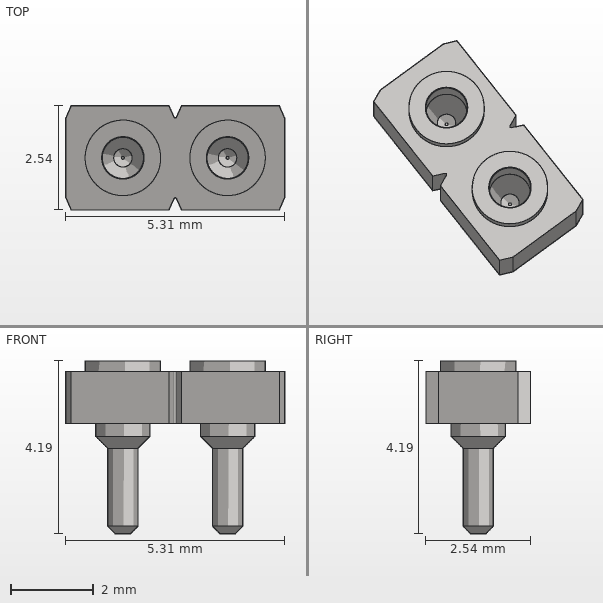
import cadquery as cq

length = 5.31
width = 2.54
pitch = 2.54
contact_count = 2
total_height = 4.19

housing_height = 1.27
corner_x = 0.135
corner_y = 0.31
notch_half_width = 0.155
notch_floor_half_width = 0.025
notch_depth = 0.3
notch_floor_rise = 0.015

flange_diameter = 1.83
flange_height = 0.25
shank_diameter = 1.32
shank_projection = 0.31
tail_diameter = 0.74
tip_diameter = 0.37
tip_height = (tail_diameter - tip_diameter) / 2
shoulder_height = (shank_diameter - tail_diameter) / 2
shoulder_top_z = -housing_height - shank_projection
shoulder_bottom_z = shoulder_top_z - shoulder_height
contact_bottom_z = flange_height - total_height

bore_diameter = 1.0
mouth_diameter = 1.03
mouth_chamfer = (mouth_diameter - bore_diameter) / 2
bore_depth = 0.55
throat_diameter = 0.445
funnel_height = 0.77
drill_flat_diameter = 0.07
drill_point_height = 0.115
funnel_top_z = flange_height - bore_depth
throat_z = funnel_top_z - funnel_height
socket_floor_z = throat_z - drill_point_height

contact_positions = [((i - (contact_count - 1) / 2) * pitch, 0) for i in range(contact_count)]


def make_housing():
    """Block with clipped corners, a central notch on each long side and through holes."""
    block = cq.Workplane("XY").box(length, width, housing_height, centered=(True, True, False))
    block = block.translate((0, 0, -housing_height))
    for side_x in (-1, 1):
        for side_y in (-1, 1):
            edge_x = side_x * length / 2
            edge_y = side_y * width / 2
            corner = (
                cq.Workplane("XY")
                .moveTo(edge_x, edge_y)
                .lineTo(edge_x - side_x * corner_x, edge_y)
                .lineTo(edge_x, edge_y - side_y * corner_y)
                .close()
                .extrude(-housing_height)
            )
            block = block.cut(corner)
    for side_y in (-1, 1):
        edge_y = side_y * width / 2
        floor_y = edge_y - side_y * notch_depth
        arc_end_y = floor_y + side_y * notch_floor_rise
        notch = (
            cq.Workplane("XY")
            .moveTo(-notch_half_width, edge_y)
            .lineTo(-notch_floor_half_width, arc_end_y)
            .threePointArc((0, floor_y), (notch_floor_half_width, arc_end_y))
            .lineTo(notch_half_width, edge_y)
            .close()
            .extrude(-housing_height)
        )
        block = block.cut(notch)
    holes = cq.Workplane("XY").pushPoints(contact_positions).circle(shank_diameter / 2)
    return block.cut(holes.extrude(-housing_height))


def make_contact(position):
    """Turned socket contact: flange, shank, tapered shoulder and tail, bored from the top."""
    profile = [
        (0, contact_bottom_z),
        (tip_diameter / 2, contact_bottom_z),
        (tail_diameter / 2, contact_bottom_z + tip_height),
        (tail_diameter / 2, shoulder_bottom_z),
        (shank_diameter / 2, shoulder_top_z),
        (shank_diameter / 2, 0),
        (flange_diameter / 2, 0),
        (flange_diameter / 2, flange_height),
        (mouth_diameter / 2, flange_height),
        (bore_diameter / 2, flange_height - mouth_chamfer),
        (bore_diameter / 2, funnel_top_z),
        (throat_diameter / 2, throat_z),
        (drill_flat_diameter / 2, socket_floor_z),
        (0, socket_floor_z),
    ]
    contact = cq.Workplane("XZ").polyline(profile).close().revolve(360, (0, 0), (0, 1))
    return contact.translate((*position, 0))


housing = make_housing()
contacts = [make_contact(position) for position in contact_positions]

result = cq.Compound.makeCompound([housing.val(), *[contact.val() for contact in contacts]])